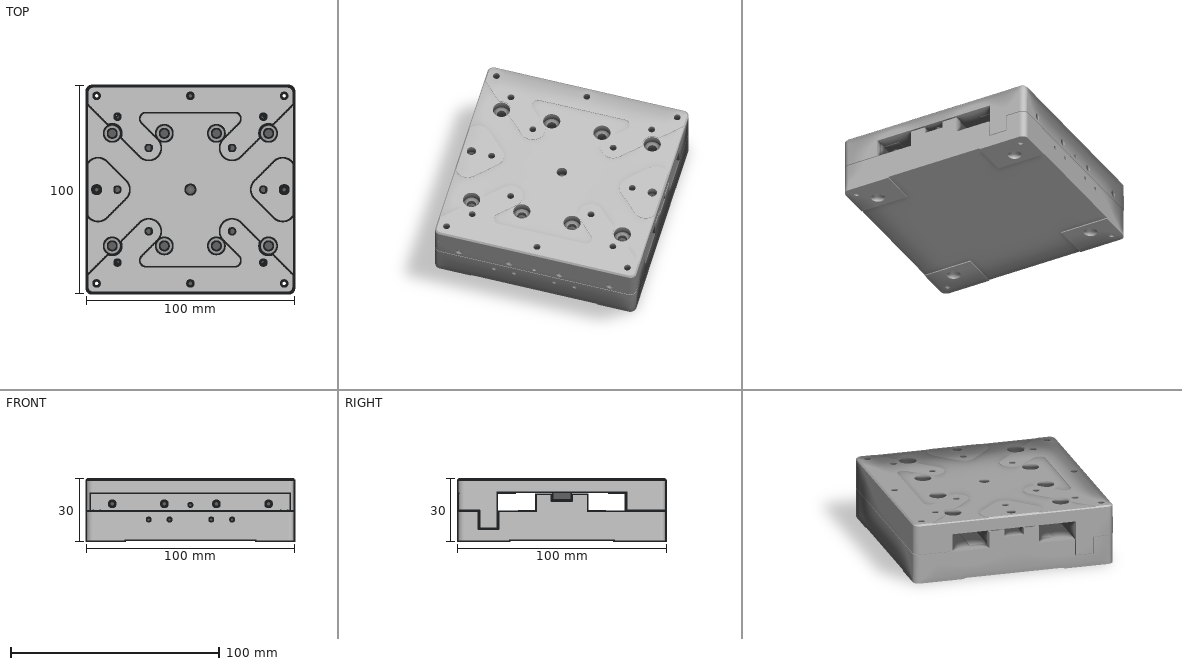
import cadquery as cq
import math

SIDE = 100.0
HEIGHT = 30.0
HALF = SIDE / 2
CORNER_RADIUS = 3.0
RUNNING_GAP = 0.3

BASE_TOP = 14.5
FOOT_HEIGHT = 0.5
FOOT_CHANNEL_X = 62.5
FOOT_CHANNEL_Y = 50.0

RAIL_WIDTH = 25.0
RAIL_TOP = 22.7
KEEL_GROOVE_WIDTH = 9.8
KEEL_GROOVE_FLOOR = 19.4
RAIL_RELIEF_DEPTH = 0.4
RAIL_RELIEF_LENGTH = 92.4

LEG_GROOVE_INNER = 30.4
LEG_GROOVE_OUTER = 40.0
LEG_GROOVE_FLOOR = 6.0

SEAT_HEIGHT = 0.3
SEAT_LENGTH = 88.0
BASE_SEAT_WIDTH = 8.2
BASE_SEAT_BREAK_INNER = 18.8
BASE_SEAT_BREAK_OUTER = 22.0
ROOF_SEAT_INNER = 22.4

TABLE_BOTTOM = BASE_TOP + RUNNING_GAP
ROOF_BOTTOM = 23.5
TOP_CHAMFER = 0.75
WINDOW_HALF = 31.0
WALL_SEAT_DEPTH = 0.5
WALL_SEAT_LENGTH = RAIL_RELIEF_LENGTH
LEG_OUTER = 39.6
LEG_BOTTOM = LEG_GROOVE_FLOOR + RUNNING_GAP
KEEL_WIDTH = 9.0
KEEL_BOTTOM = 19.8
KEEL_LENGTH = 72.4

RELIEF_DEPTH = 0.25
RELIEF_FLOOR = HEIGHT - RELIEF_DEPTH
BORDER_INNER = 37.0
ARM_RADIUS = 6.0
ARM_TIP = 20.0
ARM_FILLET = 3.0
EAR_TIP_X = 35.0
EAR_SHOULDER_Y = 9.3
EAR_SHOULDER_X = EAR_TIP_X + EAR_SHOULDER_Y
SCREW_CLEARANCE_DIAMETER = 9.2

STRIP_LENGTH = 96.0
STRIP_THICKNESS = 3.0
STRIP_TOP = 23.2

SCREW_X = (12.5, 37.5)
SCREW_Y = 27.0
SCREW_DIAMETER = 4.5
SCREW_HEAD_DIAMETER = 8.25
SCREW_HEAD_FLOOR = 25.6

THREAD_DIAMETER = 3.3
CORE_DIAMETER = 2.5
EDGE_HOLE = 45.0
INNER_HOLE = 35.0
EDGE_THREAD_DEPTH = 6.0
EDGE_CORE_DEPTH = 8.0

CENTER_DIAMETER = 5.0
CENTER_DEPTH = 6.0
EAR_HOLE_DIAMETER = 4.5
EAR_HOLE_DEPTH = 4.0

MOUNT_DIAMETER = 6.6
MOUNT_SPACING = 75.0

STRIP_SCREW_X = (12.5, 37.5)
STRIP_SCREW_Z = 18.0
STRIP_SCREW_MOUTH = 3.4
STRIP_SCREW_TABLE_DEPTH = 5.0

SIDE_DIAMETER = 2.05
DRILL_TIP_ANGLE = 118.0
SIDE_TIP_HEIGHT = SIDE_DIAMETER / 2 / math.tan(math.radians(DRILL_TIP_ANGLE / 2))
STRIP_SIDE_Z = 17.5
STRIP_SIDE_DEPTH = 2.0
BASE_SIDE_X = (10.0, 20.0)
BASE_SIDE_Z = 10.5
BASE_SIDE_DEPTH = 6.0


def block(x_range, y_range, z_range):
    """Box between the given limits."""
    (x0, x1), (y0, y1), (z0, z1) = x_range, y_range, z_range
    return cq.Workplane("XY").box(x1 - x0, y1 - y0, z1 - z0, centered=False).translate((x0, y0, z0))


def along_x(length):
    """Limits of a length centred on the X origin."""
    return (-length / 2, length / 2)


def mirrored(values):
    """Each distance on both sides of the origin."""
    return [sign * value for value in values for sign in (-1, 1)]


def four_corners(x, y):
    """The point mirrored about both axes."""
    return [(sx * x, sy * y) for sx in (-1, 1) for sy in (-1, 1)]


def hole(points, diameter, top, bottom):
    """Vertical cylinders between two levels."""
    plane = cq.Workplane("XY").workplane(offset=bottom)
    return plane.pushPoints(points).circle(diameter / 2).extrude(top - bottom)


def side_hole(x, z, start_y, diameter, depth):
    """Cylinder that goes into the part along +Y."""
    start = cq.Vector(x, start_y, z)
    return cq.Workplane(cq.Solid.makeCylinder(diameter / 2, depth, start, cq.Vector(0, 1, 0)))


def side_cone(x, z, start_y, start_diameter, end_diameter, depth):
    """Cone that narrows along +Y."""
    start = cq.Vector(x, start_y, z)
    cone = cq.Solid.makeCone(start_diameter / 2, end_diameter / 2, depth, start, cq.Vector(0, 1, 0))
    return cq.Workplane(cone)


def drilled_side_hole(x, z, depth):
    """Blind hole in the -Y face with a conical drill tip."""
    straight = side_hole(x, z, -HALF, SIDE_DIAMETER, depth)
    return straight.union(side_cone(x, z, -HALF + depth, SIDE_DIAMETER, 0, SIDE_TIP_HEIGHT))


def rounded_slab(bottom, top):
    """Square outline with rounded vertical corners."""
    slab = cq.Workplane("XY").workplane(offset=bottom).rect(SIDE, SIDE).extrude(top - bottom)
    return slab.edges("|Z").fillet(CORNER_RADIUS)


def base_rail():
    half_width = RAIL_WIDTH / 2
    rail = block((-HALF, HALF), (-half_width, half_width), (BASE_TOP, RAIL_TOP))
    half_groove = KEEL_GROOVE_WIDTH / 2
    rail = rail.cut(block((-HALF, HALF), (-half_groove, half_groove), (KEEL_GROOVE_FLOOR, RAIL_TOP)))
    for side in (-1, 1):
        y_limits = sorted((side * half_width, side * (half_width - RAIL_RELIEF_DEPTH)))
        rail = rail.cut(block(along_x(RAIL_RELIEF_LENGTH), y_limits, (BASE_TOP, RAIL_TOP)))
    return rail


def base_seats():
    """Thin pads along both sides of the rail, each broken into three lengths."""
    y_inner = RAIL_WIDTH / 2 - RAIL_RELIEF_DEPTH
    y_outer = RAIL_WIDTH / 2 + BASE_SEAT_WIDTH
    z_limits = (BASE_TOP, BASE_TOP + SEAT_HEIGHT)
    seats = block(along_x(SEAT_LENGTH), (-y_outer, y_outer), z_limits)
    seats = seats.cut(block(along_x(SEAT_LENGTH), (-y_inner, y_inner), z_limits))
    for side in (-1, 1):
        x_limits = sorted((side * BASE_SEAT_BREAK_INNER, side * BASE_SEAT_BREAK_OUTER))
        seats = seats.cut(block(x_limits, (-y_outer, y_outer), z_limits))
    return seats


def foot_channels():
    """Crossing channels in the underside that leave four feet."""
    lengthwise = block((-HALF, HALF), (-FOOT_CHANNEL_Y / 2, FOOT_CHANNEL_Y / 2), (0, FOOT_HEIGHT))
    crosswise = block(along_x(FOOT_CHANNEL_X), (-HALF, HALF), (0, FOOT_HEIGHT))
    return lengthwise.union(crosswise)


def make_base():
    base = rounded_slab(0, BASE_TOP).union(base_rail()).union(base_seats())
    base = base.cut(foot_channels())
    leg_groove_y = (-LEG_GROOVE_OUTER, -LEG_GROOVE_INNER)
    base = base.cut(block((-HALF, HALF), leg_groove_y, (LEG_GROOVE_FLOOR, BASE_TOP)))
    base = base.cut(hole(four_corners(EDGE_HOLE, EDGE_HOLE), CORE_DIAMETER, BASE_TOP, 0))
    mount = MOUNT_SPACING / 2
    base = base.cut(hole(four_corners(mount, mount), MOUNT_DIAMETER, BASE_TOP, 0))
    for x in mirrored(BASE_SIDE_X):
        base = base.cut(drilled_side_hole(x, BASE_SIDE_Z, BASE_SIDE_DEPTH))
    return base


def strip_block():
    return block(along_x(STRIP_LENGTH), (-HALF, -HALF + STRIP_THICKNESS), (TABLE_BOTTOM, STRIP_TOP))


def make_strip():
    strip = strip_block()
    mouth_depth = (STRIP_SCREW_MOUTH - CORE_DIAMETER) / 2
    for x in mirrored(STRIP_SCREW_X):
        strip = strip.cut(side_hole(x, STRIP_SCREW_Z, -HALF, CORE_DIAMETER, STRIP_THICKNESS))
        strip = strip.cut(
            side_cone(x, STRIP_SCREW_Z, -HALF, STRIP_SCREW_MOUTH, CORE_DIAMETER, mouth_depth)
        )
    return strip.cut(drilled_side_hole(0, STRIP_SIDE_Z, STRIP_SIDE_DEPTH))


def table_body():
    """Slab with a window for the rail, a leg in the base groove and a keel in the rail."""
    body = rounded_slab(TABLE_BOTTOM, HEIGHT).faces(">Z").edges().chamfer(TOP_CHAMFER)
    window = block((-HALF, HALF), (-WINDOW_HALF, WINDOW_HALF), (TABLE_BOTTOM, ROOF_BOTTOM))
    leg = block((-HALF, HALF), (-LEG_OUTER, -WINDOW_HALF), (LEG_BOTTOM, TABLE_BOTTOM))
    keel = block(along_x(KEEL_LENGTH), (-KEEL_WIDTH / 2, KEEL_WIDTH / 2), (KEEL_BOTTOM, ROOF_BOTTOM))
    body = body.cut(window).union(leg).union(keel)
    for side in (-1, 1):
        y_limits = sorted((side * ROOF_SEAT_INNER, side * WINDOW_HALF))
        body = body.union(block(along_x(SEAT_LENGTH), y_limits, (ROOF_BOTTOM - SEAT_HEIGHT, ROOF_BOTTOM)))
    wall_seat_y = (WINDOW_HALF - WALL_SEAT_DEPTH, WINDOW_HALF)
    return body.union(block(along_x(WALL_SEAT_LENGTH), wall_seat_y, (TABLE_BOTTOM, ROOF_BOTTOM)))


def raised_arms(side):
    """Border strip with two diagonal arms, on the +Y (side=1) or -Y (side=-1) half of the top."""
    border_half = BORDER_INNER + ARM_RADIUS * math.sqrt(2)
    border = block((-border_half, border_half), (BORDER_INNER, HALF), (RELIEF_FLOOR, HEIGHT))
    arm_length = math.sqrt(2) * (HALF - ARM_TIP) + ARM_RADIUS
    for x_side, angle in ((1, 45), (-1, 135)):
        arm = block((0, arm_length), (-ARM_RADIUS, ARM_RADIUS), (RELIEF_FLOOR, HEIGHT))
        arm = arm.union(hole([(0, 0)], 2 * ARM_RADIUS, HEIGHT, RELIEF_FLOOR))
        arm = arm.rotate((0, 0, 0), (0, 0, 1), angle).translate((x_side * ARM_TIP, ARM_TIP, 0))
        border = border.union(arm)
    corner_x = BORDER_INNER - ARM_RADIUS * math.sqrt(2)
    reach = ARM_FILLET / 2
    for x_side in (-1, 1):
        near_corner = cq.selectors.BoxSelector(
            (x_side * corner_x - reach, BORDER_INNER - reach, 0),
            (x_side * corner_x + reach, BORDER_INNER + reach, HEIGHT),
        )
        border = border.edges("|Z").edges(near_corner).fillet(ARM_FILLET)
    return border if side > 0 else border.mirror("XZ")


def raised_ear(side):
    """Rounded triangle around the holes at the middle of the -X or +X edge."""
    diagonal = ARM_RADIUS / math.sqrt(2)
    shoulder_top = EAR_SHOULDER_Y + ARM_RADIUS
    outer_x = EAR_SHOULDER_X + ARM_RADIUS
    lower_tangent = (EAR_SHOULDER_X - diagonal, -EAR_SHOULDER_Y - diagonal)
    ear = (
        cq.Workplane("XY")
        .workplane(offset=RELIEF_FLOOR)
        .moveTo(EAR_TIP_X - diagonal, -diagonal)
        .threePointArc((EAR_TIP_X - ARM_RADIUS, 0), (EAR_TIP_X - diagonal, diagonal))
        .lineTo(EAR_SHOULDER_X - diagonal, EAR_SHOULDER_Y + diagonal)
        .threePointArc((EAR_SHOULDER_X, shoulder_top), (outer_x, EAR_SHOULDER_Y))
        .lineTo(outer_x, -EAR_SHOULDER_Y)
        .threePointArc((EAR_SHOULDER_X, -shoulder_top), lower_tangent)
        .close()
        .extrude(RELIEF_DEPTH)
    )
    return ear if side > 0 else ear.mirror("YZ")


def top_relief():
    relief = block((-HALF, HALF), (-HALF, HALF), (RELIEF_FLOOR, HEIGHT))
    for side in (-1, 1):
        relief = relief.cut(raised_arms(side)).cut(raised_ear(side))
    return relief.union(
        hole(four_corners(SCREW_X[1], SCREW_Y), SCREW_CLEARANCE_DIAMETER, HEIGHT, RELIEF_FLOOR)
    )


def cut_table_screws(table):
    for x in SCREW_X:
        points = four_corners(x, SCREW_Y)
        table = table.cut(hole(points, SCREW_DIAMETER, HEIGHT, TABLE_BOTTOM))
        table = table.cut(hole(points, SCREW_HEAD_DIAMETER, HEIGHT, SCREW_HEAD_FLOOR))
    return table


def cut_table_threads(table):
    through_points = four_corners(EDGE_HOLE, EDGE_HOLE)
    table = table.cut(hole(through_points, THREAD_DIAMETER, HEIGHT, TABLE_BOTTOM))

    inner_points = four_corners(INNER_HOLE, INNER_HOLE)
    edge_points = [(0, -EDGE_HOLE), (0, EDGE_HOLE)]
    table = table.cut(hole(inner_points + edge_points, THREAD_DIAMETER, HEIGHT, HEIGHT - EDGE_THREAD_DEPTH))
    table = table.cut(hole(inner_points, CORE_DIAMETER, HEIGHT, LEG_BOTTOM))
    table = table.cut(hole(edge_points, CORE_DIAMETER, HEIGHT, HEIGHT - EDGE_CORE_DEPTH))

    roof_points = four_corners(ARM_TIP, ARM_TIP) + [(-EAR_TIP_X, 0), (EAR_TIP_X, 0)]
    return table.cut(hole(roof_points, THREAD_DIAMETER, HEIGHT, ROOF_BOTTOM))


def cut_ear_holes(table):
    """Counterbore with a conical floor above a core hole."""
    points = [(-EDGE_HOLE, 0), (EDGE_HOLE, 0)]
    cone_height = (EAR_HOLE_DIAMETER - THREAD_DIAMETER) / 2
    cone_top = HEIGHT - EAR_HOLE_DEPTH
    table = table.cut(hole(points, EAR_HOLE_DIAMETER, HEIGHT, cone_top))
    for x, y in points:
        cone = cq.Solid.makeCone(
            THREAD_DIAMETER / 2, EAR_HOLE_DIAMETER / 2, cone_height, cq.Vector(x, y, cone_top - cone_height)
        )
        table = table.cut(cq.Workplane(cone))
    return table.cut(hole(points, CORE_DIAMETER, HEIGHT, ROOF_BOTTOM))


def make_table():
    table = table_body().cut(strip_block()).cut(top_relief())
    table = cut_table_screws(table)
    table = cut_table_threads(table)
    table = cut_ear_holes(table)
    table = table.cut(hole([(0, 0)], CENTER_DIAMETER, HEIGHT, HEIGHT - CENTER_DEPTH))
    table_hole_start = -HALF + STRIP_THICKNESS
    for x in mirrored(STRIP_SCREW_X):
        table = table.cut(
            side_hole(x, STRIP_SCREW_Z, table_hole_start, CORE_DIAMETER, STRIP_SCREW_TABLE_DEPTH)
        )
    return table


base = make_base()
strip = make_strip()
table = make_table()
result = cq.Compound.makeCompound([base.solids().val(), strip.solids().val(), table.solids().val()])